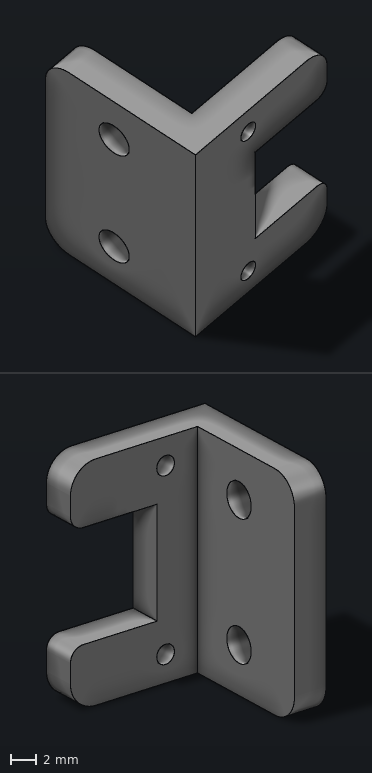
import cadquery as cq

leg = 15.9
height = 21.6
thickness = 3.17
corner_radius = 2.55

mount_hole_diameter = 3.2
mount_hole_spacing = 12.7
mount_hole_from_free_edge = 7.28

notch_width = 10.23
notch_depth = 8.68
prong_radius = 1.27
selection_margin = 0.22
fork_hole_diameter = 1.77
fork_hole_spacing = 16.52
fork_hole_from_back = 6.37


def upright_plate(size_x, size_y):
    """Plain plate with one corner on the origin, centred on Z."""
    return cq.Workplane("XY").box(size_x, size_y, height, centered=(False, False, True))


def hole_pair(plane, position, spacing, diameter):
    """Two cylinders spaced along Z, long enough to cross the whole bracket."""
    offsets = [(position, -spacing / 2), (position, spacing / 2)]
    return cq.Workplane(plane).pushPoints(offsets).circle(diameter / 2).extrude(leg, both=True)


mounting_leg = upright_plate(leg, thickness).edges("|Y and <X").fillet(corner_radius)
mounting_leg = mounting_leg.cut(
    hole_pair("XZ", mount_hole_from_free_edge, mount_hole_spacing, mount_hole_diameter)
)

forked_leg = (
    upright_plate(thickness, leg)
    .edges("|X and >Y")
    .fillet(corner_radius)
    .translate((leg - thickness, 0, 0))
)
notch = (
    cq.Workplane("XY")
    .box(leg, notch_depth, notch_width, centered=(False, False, True))
    .translate((0, leg - notch_depth, 0))
)
forked_leg = forked_leg.cut(notch)

prong_corners = cq.selectors.BoxSelector(
    (0, leg - prong_radius, -notch_width / 2 - selection_margin),
    (leg, leg + selection_margin, notch_width / 2 + selection_margin),
)
forked_leg = forked_leg.edges("|X").edges(prong_corners).fillet(prong_radius)
forked_leg = forked_leg.cut(
    hole_pair("YZ", fork_hole_from_back, fork_hole_spacing, fork_hole_diameter)
)

result = mounting_leg.union(forked_leg)